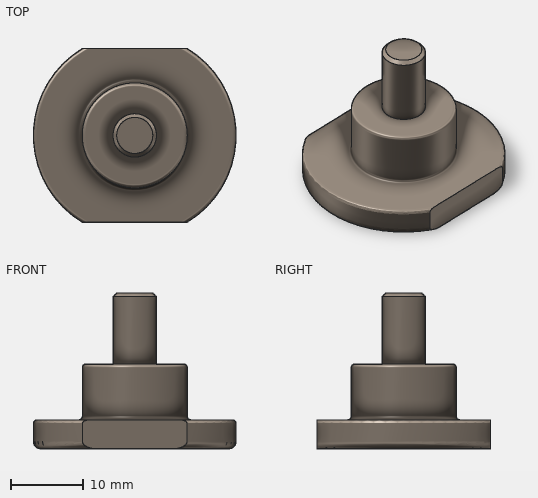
import cadquery as cq

flange_diameter = 28.0
flange_width = 24.0
flange_thickness = 4.0
flange_bottom_fillet = 1.0

boss_diameter = 14.5
boss_top = 11.7
stud_diameter = 6.0
total_height = 21.5
stud_chamfer = 0.5

edge_fillet = 0.5


def make_flange():
    """Disc with rounded rims, trimmed afterwards so the flats keep sharp edges."""
    disc = cq.Workplane("XY").circle(flange_diameter / 2).extrude(flange_thickness)
    disc = disc.faces("<Z").edges().fillet(flange_bottom_fillet)
    disc = disc.faces(">Z").edges().fillet(edge_fillet)
    trim = cq.Workplane("XY").rect(flange_diameter, flange_width).extrude(flange_thickness)
    return disc.intersect(trim)


def make_boss():
    """Cylinder with a rounded top rim and a concave fillet flaring out at its root."""
    radius = boss_diameter / 2
    root_radius = radius + edge_fillet
    root_top = flange_thickness + edge_fillet
    blend = edge_fillet * (1 - 0.5 ** 0.5)
    profile = (
        cq.Workplane("XZ")
        .lineTo(root_radius, 0)
        .lineTo(root_radius, flange_thickness)
        .threePointArc((radius + blend, flange_thickness + blend), (radius, root_top))
        .lineTo(radius, boss_top - edge_fillet)
        .threePointArc((radius - blend, boss_top - blend), (radius - edge_fillet, boss_top))
        .lineTo(0, boss_top)
        .close()
    )
    return profile.revolve(360, (0, 0, 0), (0, 1, 0))


def make_stud():
    """Plain pin with a chamfered tip."""
    pin = cq.Workplane("XY").circle(stud_diameter / 2).extrude(total_height)
    return pin.faces(">Z").edges().chamfer(stud_chamfer)


result = make_flange().union(make_boss()).union(make_stud())